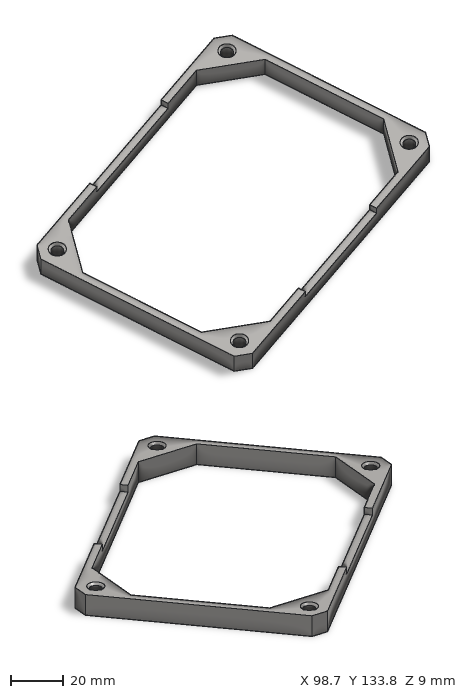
import cadquery as cq

length = 133.8
width = 98.7
height = 9.0
wall = 3.2
outer_chamfer = 5.1
inner_chamfer = 19.0

hole_diameter = 5.0
countersink_diameter = 7.0
countersink_angle = 90.0
hole_inset = 7.6

notch_length = 49.8
notch_depth = 3.0


def chamfered_block(size_x, size_y, chamfer):
    """Full-height rectangular block with its four vertical edges chamfered."""
    block = cq.Workplane("XY").box(size_x, size_y, height, centered=(True, True, False))
    return block.edges("|Z").chamfer(chamfer)


def add_screw_holes(body):
    """Countersunk through holes, one in each corner."""
    return (
        body.faces(">Z")
        .workplane(origin=(0, 0, height))
        .rect(width - 2 * hole_inset, length - 2 * hole_inset, forConstruction=True)
        .vertices()
        .cskHole(hole_diameter, countersink_diameter, countersink_angle)
    )


def notch_cutter():
    """Bar spanning the frame that lowers the middle of both long walls."""
    return (
        cq.Workplane("XY")
        .workplane(offset=height - notch_depth)
        .box(width, notch_length, notch_depth, centered=(True, True, False))
    )


frame = chamfered_block(width, length, outer_chamfer)
opening = chamfered_block(width - 2 * wall, length - 2 * wall, inner_chamfer)
frame = frame.cut(opening)
frame = add_screw_holes(frame)
result = frame.cut(notch_cutter())